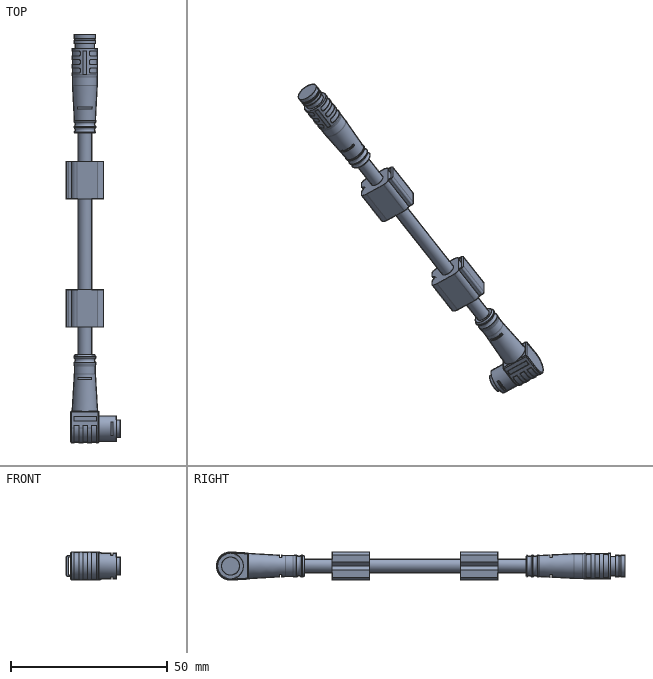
import cadquery as cq
import math

TOTAL_LENGTH = 130.9
TIP_Y = TOTAL_LENGTH / 2
CABLE_RADIUS = 2.2

BOOT_RADIUS = 3.4
CREST_RADIUS = 3.5
BOOT_END_RADIUS = 3.1
VALLEY_RADIUS = 0.9
VALLEY_DEPTH = 0.4
SNAP_GROOVE_WIDTH = 0.7
SNAP_GROOVE_HEIGHT = 2.7

NOSE_RADIUS = 7.0 / 2
NOSE_GROOVE_START = 1.3
NOSE_GROOVE_END = 2.0
NOSE_GROOVE_RADIUS = 3.1
NOSE_END = 3.0
NECK_RADIUS = 3.1
COLLAR_START = 4.6
COLLAR_RADIUS = 8.2 / 2
COLLAR_END = 13.0
SLEEVE_START = 13.6
SLEEVE_RADIUS = 8.0 / 2
SLEEVE_END = 16.4
STRAIGHT_BOOT_START = 27.6
STRAIGHT_CREST_END = 31.3
STRAIGHT_BOOT_END = 31.7
STRAIGHT_VALLEYS = (28.8, 30.6)
STRAIGHT_SNAP_STATION = 23.7

GRIP_PITCH = 2.7
GRIP_WIDTH = 1.6
GRIP_DEPTH = 0.1
GRIP_COUNT = 3
COLLAR_GRIP_FIRST = 6.2
COLLAR_GRIP_INSET = 1.5
GRIP_CORNER = 0.5
KEY_WIDTH = 1.2
KEY_DEPTH = 0.1
KEY_START = 5.4
KEY_END = 12.8

ELBOW_RADIUS = 9.0 / 2
ELBOW_AXIS_Y = -TIP_Y + ELBOW_RADIUS
ELBOW_HALF_WIDTH = 4.6
ELBOW_TOP_STATION = 120.7
ELBOW_TOP_HALF_HEIGHT = 4.2
ELBOW_CHAMFER = 0.33
ELBOW_GRIP_FIRST = -2.6
ELBOW_GRIP_RISE = 1.0
ELBOW_SLOT_STATION = 123.2
ELBOW_SLOT_WIDTH = 1.6
ELBOW_SLOT_START = -3.4
ELBOW_SLOT_END = 3.8
ELBOW_BOOT_START = 102.6
ELBOW_CREST_START = 103.3
ELBOW_VALLEY = 104.5
ELBOW_CREST_END = 105.6
ELBOW_BARREL_START = 106.3
ELBOW_CONE_START = 108.8
ELBOW_CONE_END_RADIUS = 8.2 / 2
ELBOW_SNAP_STATION = 110.3
SOCKET_RADIUS = 8.2 / 2
SOCKET_END = 10.1
SOCKET_TIP_RADIUS = 2.9
SOCKET_TIP_END = 11.4
SOCKET_SNAP_X = 8.6
SOCKET_SNAP_HEIGHT = 3.5

CLIP_STATIONS = (40.7, 81.8)
CLIP_LENGTH = 12.0
CLIP_HALF_HEIGHT = 9.0 / 2
CLIP_HALF_WIDTH = 6.0
CLIP_BODY_LEFT = -4.5
CLIP_LEFT_ROUND = 2.0
CLIP_RIGHT_ROUND_WIDTH = 2.0
CLIP_RIGHT_ROUND_DROP = 0.9
CLIP_RIGHT_ROUND_RADIUS = 2.6
CLIP_MOUTH = 1.3
FRAME_HALF_HEIGHT = 3.4
FRAME_ROUND = 0.8
LABEL_SLOT_LEFT = -5.2
LABEL_SLOT_RIGHT = -4.2
LABEL_SLOT_HALF_HEIGHT = 2.9

MARGIN = 1.3


def at(station):
    """Y of a point at a given distance back from the plug tip."""
    return TIP_Y - station


def turned(outline):
    """Revolve (radius, station) points around the cable axis."""
    points = [(radius, at(station)) for radius, station in outline]
    axis_ends = [(0, points[-1][1]), (0, points[0][1])]
    return cq.Workplane("XY").polyline(points + axis_ends).close().revolve(360, (0, 0, 0), (0, 1, 0))


def box(x_range, y_range, z_range):
    """Box between the given limits on each axis."""
    sizes = [abs(b - a) for a, b in (x_range, y_range, z_range)]
    centre = tuple((a + b) / 2 for a, b in (x_range, y_range, z_range))
    return cq.Workplane("XY").box(*sizes).translate(centre)


def boot_valley(station):
    """Rounded ring groove in a boot."""
    centre_radius = CREST_RADIUS - VALLEY_DEPTH + VALLEY_RADIUS
    ring = cq.Solid.makeTorus(centre_radius, VALLEY_RADIUS, cq.Vector(0, at(station), 0), cq.Vector(0, 1, 0))
    return cq.Workplane("XY").add(ring)


def snap_grooves(station):
    """Straight grooves across the top and bottom of a boot."""
    y_range = (at(station) - SNAP_GROOVE_WIDTH / 2, at(station) + SNAP_GROOVE_WIDTH / 2)
    x_range = (-COLLAR_RADIUS, COLLAR_RADIUS)
    top = box(x_range, y_range, (SNAP_GROOVE_HEIGHT, COLLAR_RADIUS + MARGIN))
    return top.union(top.mirror("XY"))


def straight_plug():
    """Straight plug with a grooved nose, gripped collar, flat-bottomed key slots and tapered boot."""
    plug = turned([
        (NOSE_RADIUS, 0),
        (NOSE_RADIUS, NOSE_GROOVE_START),
        (NOSE_GROOVE_RADIUS, NOSE_GROOVE_END),
        (NOSE_RADIUS, NOSE_GROOVE_END),
        (NOSE_RADIUS, NOSE_END),
        (NECK_RADIUS, NOSE_END),
        (NECK_RADIUS, COLLAR_START),
        (COLLAR_RADIUS, COLLAR_START),
        (COLLAR_RADIUS, COLLAR_END),
        (SLEEVE_RADIUS, SLEEVE_START),
        (SLEEVE_RADIUS, SLEEVE_END),
        (BOOT_RADIUS, STRAIGHT_BOOT_START),
        (CREST_RADIUS, STRAIGHT_BOOT_START),
        (CREST_RADIUS, STRAIGHT_CREST_END),
        (BOOT_END_RADIUS, STRAIGHT_BOOT_END),
    ])
    for station in STRAIGHT_VALLEYS:
        plug = plug.cut(boot_valley(station))
    plug = plug.cut(snap_grooves(STRAIGHT_SNAP_STATION))
    for index in range(GRIP_COUNT):
        plug = plug.cut(collar_grip(COLLAR_GRIP_FIRST + index * GRIP_PITCH))
    key = box(
        (-KEY_WIDTH / 2, KEY_WIDTH / 2),
        (at(KEY_END), at(KEY_START)),
        (COLLAR_RADIUS - KEY_DEPTH, COLLAR_RADIUS + MARGIN),
    )
    return plug.cut(key).cut(key.mirror("XY"))


def collar_grip(station):
    """Shallow grip pockets on both sides of the collar, with rounded ends."""
    reach = COLLAR_RADIUS + MARGIN
    y_range = (at(station) - GRIP_WIDTH / 2, at(station) + GRIP_WIDTH / 2)
    side = box((COLLAR_GRIP_INSET, reach), y_range, (-reach, reach)).edges("|Z and <X").fillet(GRIP_CORNER)
    core = (
        cq.Workplane("XZ", origin=(0, y_range[1], 0))
        .circle(COLLAR_RADIUS - GRIP_DEPTH)
        .extrude(GRIP_WIDTH)
    )
    return side.union(side.mirror("YZ")).cut(core)


def x_cylinder(radius, start, end):
    """Cylinder on the elbow's outlet axis."""
    return cq.Workplane("YZ", origin=(start, ELBOW_AXIS_Y, 0)).circle(radius).extrude(end - start)


def elbow_block():
    """Round-bottomed block whose sides run from the boot to a tangent on the round, chamfered."""
    top_rise = at(ELBOW_TOP_STATION) - ELBOW_AXIS_Y
    corner_angle = math.atan2(ELBOW_TOP_HALF_HEIGHT, top_rise)
    corner_distance = math.hypot(top_rise, ELBOW_TOP_HALF_HEIGHT)
    tangent_angle = corner_angle + math.acos(ELBOW_RADIUS / corner_distance)
    tangent_rise = ELBOW_RADIUS * math.cos(tangent_angle)
    tangent_height = ELBOW_RADIUS * math.sin(tangent_angle)
    return (
        cq.Workplane("YZ", origin=(-ELBOW_HALF_WIDTH, ELBOW_AXIS_Y, 0))
        .moveTo(top_rise, ELBOW_TOP_HALF_HEIGHT)
        .lineTo(tangent_rise, tangent_height)
        .threePointArc((-ELBOW_RADIUS, 0), (tangent_rise, -tangent_height))
        .lineTo(top_rise, -ELBOW_TOP_HALF_HEIGHT)
        .close()
        .extrude(2 * ELBOW_HALF_WIDTH)
        .faces("<X or >X or >Y")
        .chamfer(ELBOW_CHAMFER)
    )


def elbow_grip(x):
    """Shallow grip groove around the round bottom of the elbow."""
    outer = x_cylinder(ELBOW_RADIUS + MARGIN, x - GRIP_WIDTH / 2, x + GRIP_WIDTH / 2)
    ring = outer.cut(x_cylinder(ELBOW_RADIUS - GRIP_DEPTH, x - GRIP_WIDTH, x + GRIP_WIDTH))
    reach = ELBOW_RADIUS + 2 * MARGIN
    keep = box(
        (x - GRIP_WIDTH, x + GRIP_WIDTH),
        (ELBOW_AXIS_Y - reach, ELBOW_AXIS_Y + ELBOW_GRIP_RISE),
        (-reach, reach),
    )
    return ring.intersect(keep)


def elbow_plug():
    """Elbow plug: tapered boot, gripped block with label slots, and a stepped socket toward +X."""
    boot = turned([
        (BOOT_END_RADIUS, ELBOW_BOOT_START),
        (CREST_RADIUS, ELBOW_CREST_START),
        (CREST_RADIUS, ELBOW_CREST_END),
        (BOOT_RADIUS, ELBOW_BARREL_START),
        (BOOT_RADIUS, ELBOW_CONE_START),
        (ELBOW_CONE_END_RADIUS, ELBOW_TOP_STATION + ELBOW_CHAMFER),
    ])
    boot = boot.cut(boot_valley(ELBOW_VALLEY)).cut(snap_grooves(ELBOW_SNAP_STATION))
    block = elbow_block()
    for index in range(GRIP_COUNT):
        block = block.cut(elbow_grip(ELBOW_GRIP_FIRST + index * GRIP_PITCH))
    slot = box(
        (ELBOW_SLOT_START, ELBOW_SLOT_END),
        (at(ELBOW_SLOT_STATION) - ELBOW_SLOT_WIDTH / 2, at(ELBOW_SLOT_STATION) + ELBOW_SLOT_WIDTH / 2),
        (ELBOW_TOP_HALF_HEIGHT, ELBOW_RADIUS + MARGIN),
    )
    block = block.cut(slot).cut(slot.mirror("XY"))
    socket = x_cylinder(SOCKET_RADIUS, 0, SOCKET_END)
    snap = box(
        (SOCKET_SNAP_X - SNAP_GROOVE_WIDTH / 2, SOCKET_SNAP_X + SNAP_GROOVE_WIDTH / 2),
        (ELBOW_AXIS_Y - SOCKET_RADIUS, ELBOW_AXIS_Y + SOCKET_RADIUS),
        (SOCKET_SNAP_HEIGHT, SOCKET_RADIUS + MARGIN),
    )
    socket = socket.cut(snap).cut(snap.mirror("XY"))
    tip = x_cylinder(SOCKET_TIP_RADIUS, 0, SOCKET_TIP_END)
    return boot.union(block).union(socket).union(tip)


def label_clip(station):
    """Snap-on clip with a see-through label frame on -X and a V mouth on +X."""
    round_start = CLIP_HALF_WIDTH - CLIP_RIGHT_ROUND_WIDTH
    shoulder = CLIP_HALF_HEIGHT - CLIP_RIGHT_ROUND_DROP
    left_flat = CLIP_HALF_HEIGHT - CLIP_LEFT_ROUND
    plane = cq.Workplane("XZ", origin=(0, at(station), 0))
    body = (
        plane.moveTo(CLIP_BODY_LEFT, -left_flat)
        .lineTo(CLIP_BODY_LEFT, left_flat)
        .radiusArc((CLIP_BODY_LEFT + CLIP_LEFT_ROUND, CLIP_HALF_HEIGHT), CLIP_LEFT_ROUND)
        .lineTo(round_start, CLIP_HALF_HEIGHT)
        .radiusArc((CLIP_HALF_WIDTH, shoulder), CLIP_RIGHT_ROUND_RADIUS)
        .lineTo(CLIP_HALF_WIDTH, CLIP_MOUTH)
        .lineTo(CLIP_HALF_WIDTH - CLIP_MOUTH, 0)
        .lineTo(CLIP_HALF_WIDTH, -CLIP_MOUTH)
        .lineTo(CLIP_HALF_WIDTH, -shoulder)
        .radiusArc((round_start, -CLIP_HALF_HEIGHT), CLIP_RIGHT_ROUND_RADIUS)
        .lineTo(CLIP_BODY_LEFT + CLIP_LEFT_ROUND, -CLIP_HALF_HEIGHT)
        .radiusArc((CLIP_BODY_LEFT, -left_flat), CLIP_LEFT_ROUND)
        .close()
        .extrude(CLIP_LENGTH)
    )
    y_range = (at(station + CLIP_LENGTH), at(station))
    frame = box((-CLIP_HALF_WIDTH, 0), y_range, (-FRAME_HALF_HEIGHT, FRAME_HALF_HEIGHT))
    frame = frame.edges("|Y and <X").fillet(FRAME_ROUND)
    slot = box(
        (LABEL_SLOT_LEFT, LABEL_SLOT_RIGHT),
        y_range,
        (-LABEL_SLOT_HALF_HEIGHT, LABEL_SLOT_HALF_HEIGHT),
    )
    return body.union(frame).cut(slot)


def cable():
    """Cable reaching a little way into both boots."""
    start = STRAIGHT_BOOT_END - MARGIN
    end = ELBOW_BOOT_START + MARGIN
    return turned([(CABLE_RADIUS, start), (CABLE_RADIUS, end)])


result = cable().union(straight_plug()).union(elbow_plug())
for clip_station in CLIP_STATIONS:
    result = result.union(label_clip(clip_station))